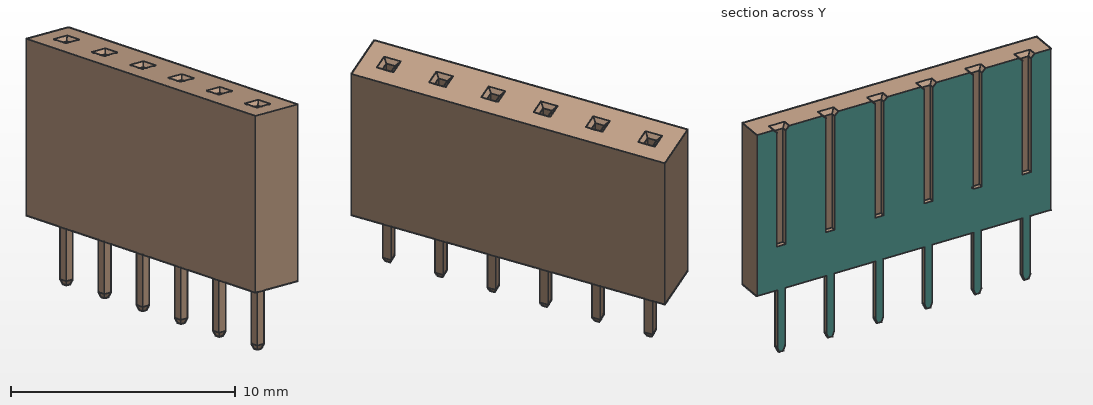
import cadquery as cq


contact_count = 6
length = 15.24
pitch = length / contact_count
width = pitch
total_height = 11.45
pin_length = 3.19
housing_height = total_height - pin_length

hole_side = 0.43
mouth_side = 0.81
lead_in_depth = (mouth_side - hole_side) / 2
hole_depth = 6.0

pin_side = 0.41
tip_side = 0.23
tip_length = 0.25

contact_points = [
    ((i - (contact_count - 1) / 2) * pitch, 0) for i in range(contact_count)
]


def square_frustum(start_side, end_side, start_z, end_z):
    """Tapered square block running along Z between two heights."""
    return (
        cq.Workplane("XY", origin=(0, 0, start_z))
        .rect(start_side, start_side)
        .workplane(offset=end_z - start_z)
        .rect(end_side, end_side)
        .loft(ruled=True)
    )


def square_bar(side, bottom_z, top_z):
    """Straight square bar standing between two heights."""
    return cq.Workplane("XY", origin=(0, 0, bottom_z)).rect(side, side).extrude(top_z - bottom_z)


def contact_hole():
    """Blind square hole with a tapered lead-in at the top face."""
    lead_in_bottom = housing_height - lead_in_depth
    lead_in = square_frustum(hole_side, mouth_side, lead_in_bottom, housing_height)
    shaft = square_bar(hole_side, housing_height - hole_depth, lead_in_bottom)
    return shaft.union(lead_in)


def solder_pin():
    """Square pin below the housing, ending in a tapered tip."""
    tip_start = tip_length - pin_length
    shank = square_bar(pin_side, tip_start, 0)
    tip = square_frustum(tip_side, pin_side, -pin_length, tip_start)
    return shank.union(tip)


result = cq.Workplane("XY").box(length, width, housing_height, centered=(True, True, False))

for x, y in contact_points:
    result = result.cut(contact_hole().translate((x, y, 0)))
    result = result.union(solder_pin().translate((x, y, 0)))